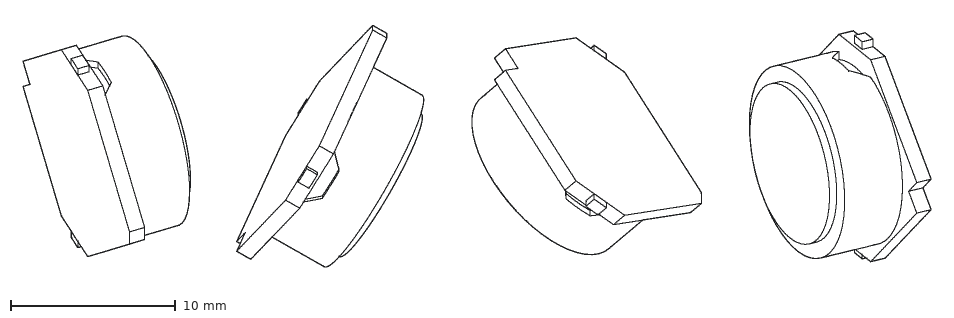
import cadquery as cq

plate_thickness = 1.0
plate_height = 13.65
end_flat_width = 4.0
right_flat_height = 1.0
notch_depth = 1.03

can_diameter = 12.0
can_end_y = 5.0
disc_diameter = 10.0
disc_height = 0.5

recess_length = 1.0
recess_floor_diameter = 11.0

terminal_width = 1.0
terminal_thickness = 0.75
terminal_height = 0.52

half_height = plate_height / 2
half_flat = end_flat_width / 2
half_right_flat = right_flat_height / 2
right_x = half_flat + half_height - half_right_flat
left_x = -(half_flat + half_height - notch_depth)
can_radius = can_diameter / 2
recess_end_half_width = half_flat - recess_length


def extrude_along_y(outline, start_y, length):
    """Extrude an XZ outline from start_y towards +Y."""
    return outline.extrude(-length).translate((0, start_y, 0))


def make_plate():
    outline = cq.Workplane("XZ").polyline([
        (-half_flat, half_height),
        (half_flat, half_height),
        (right_x, half_right_flat),
        (right_x, -half_right_flat),
        (half_flat, -half_height),
        (-half_flat, -half_height),
        (left_x, -notch_depth),
        (left_x + notch_depth, 0),
        (left_x, notch_depth),
    ]).close()
    return extrude_along_y(outline, 0, plate_thickness)


def make_recess_cutter():
    """Trapezoidal prism through the can along Z, kept only outside the recess floor."""
    recess_end_y = plate_thickness + recess_length
    prism = cq.Workplane("XY").polyline([
        (-half_flat, plate_thickness),
        (half_flat, plate_thickness),
        (recess_end_half_width, recess_end_y),
        (-recess_end_half_width, recess_end_y),
    ]).close().extrude(can_radius, both=True)
    floor_circle = cq.Workplane("XZ").circle(recess_floor_diameter / 2)
    core = extrude_along_y(floor_circle, plate_thickness, recess_length)
    return prism.cut(core)


def make_can():
    can_length = can_end_y - plate_thickness
    can = extrude_along_y(cq.Workplane("XZ").circle(can_radius), plate_thickness, can_length)
    return can.cut(make_recess_cutter())


def make_disc():
    return extrude_along_y(cq.Workplane("XZ").circle(disc_diameter / 2), can_end_y, disc_height)


def make_housing():
    return make_plate().union(make_can()).union(make_disc())


def make_terminal(side):
    """Terminal on the top flat (side = 1) or the bottom flat (side = -1)."""
    centre_z = side * (half_height + terminal_height / 2)
    outline = cq.Workplane("XZ").center(0, centre_z).rect(terminal_width, terminal_height)
    return extrude_along_y(outline, 0, terminal_thickness)


housing = make_housing()
terminals = [make_terminal(side) for side in (1, -1)]

result = cq.Compound.makeCompound([housing.val(), *[terminal.val() for terminal in terminals]])